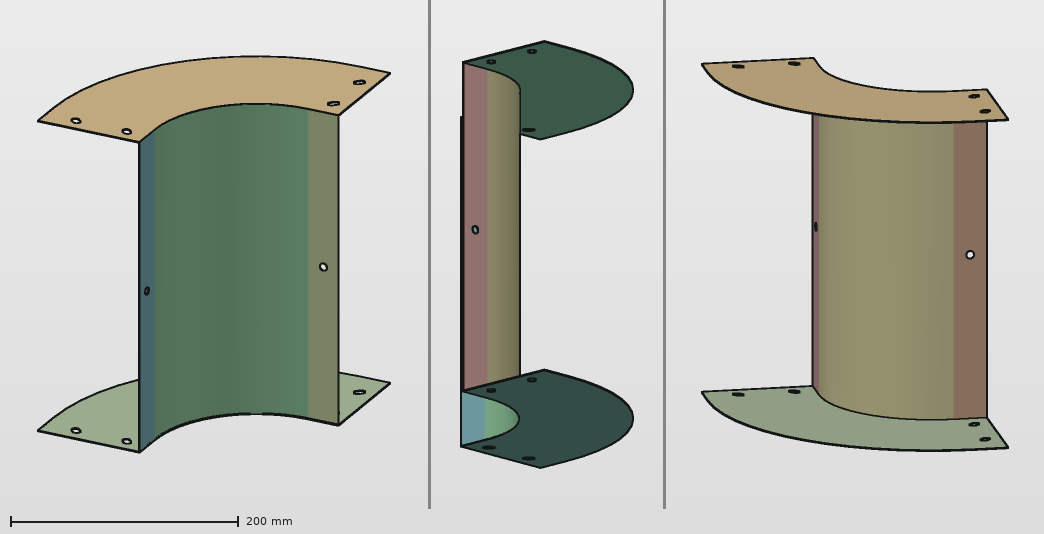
import cadquery as cq
import math

height = 300.0
straight = 30.0
inner_radius = 100.0
plate_width = 100.2
thickness = 1.0
hole_diameter = 7.0
slot_length = 10.5
slot_end_offset = 15.0
slot_edge_offsets = (30.0, 80.0)

outer_radius = inner_radius + plate_width
side = outer_radius + straight


def bend_sector(near_radius, far_radius, depth):
    """Quarter-bend strip with straight ends, centred on the bend corner at (0, 0)."""
    diagonal = math.sqrt(0.5)
    return (
        cq.Workplane("XY")
        .moveTo(-far_radius, -straight)
        .lineTo(-far_radius, 0)
        .threePointArc((-far_radius * diagonal, far_radius * diagonal), (0, far_radius))
        .lineTo(straight, far_radius)
        .lineTo(straight, near_radius)
        .lineTo(0, near_radius)
        .threePointArc((-near_radius * diagonal, near_radius * diagonal), (-near_radius, 0))
        .lineTo(-near_radius, -straight)
        .close()
        .extrude(depth)
    )


def slot_cutter(x, y, angle):
    """Slot running through both plates."""
    return (
        cq.Workplane("XY")
        .center(x, y)
        .slot2D(slot_length, hole_diameter, angle)
        .extrude(height)
    )


wall = bend_sector(inner_radius, inner_radius + thickness, height)
bottom_plate = bend_sector(inner_radius, outer_radius, thickness)
top_plate = bottom_plate.translate((0, 0, height - thickness))
body = wall.union(bottom_plate).union(top_plate)

slot_end = straight - slot_end_offset
for edge_offset in slot_edge_offsets:
    slot_radius = outer_radius - edge_offset
    body = body.cut(slot_cutter(-slot_radius, -slot_end, -45))
    body = body.cut(slot_cutter(slot_end, slot_radius, 45))

hole_end = straight / 2
hole_depth = 4 * thickness
hole_start = inner_radius - thickness


def wall_hole_cutter(start, direction):
    """Round cutter passing through the thin wall."""
    return cq.Workplane(obj=cq.Solid.makeCylinder(hole_diameter / 2, hole_depth, start, direction))


left_hole_start = cq.Vector(-hole_start, -hole_end, height / 2)
back_hole_start = cq.Vector(hole_end, hole_start, height / 2)
body = body.cut(wall_hole_cutter(left_hole_start, cq.Vector(-1, 0, 0)))
body = body.cut(wall_hole_cutter(back_hole_start, cq.Vector(0, 1, 0)))

shift = outer_radius - side / 2
result = body.translate((shift, -shift, -height / 2))